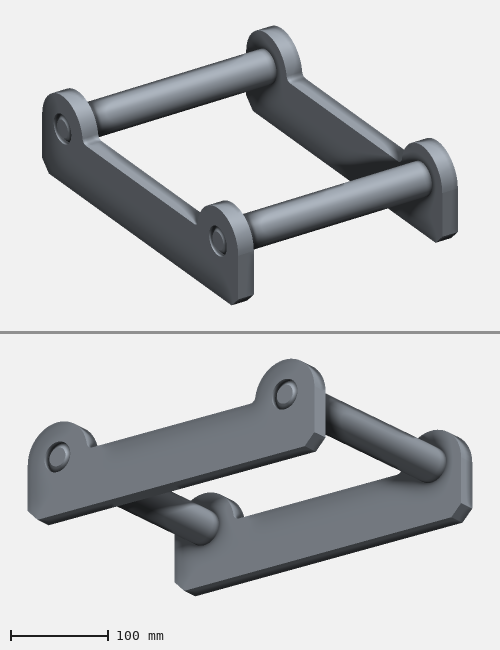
import cadquery as cq
import math

frame_length = 366.75
frame_width = 267.73
plate_height = 101.03
plate_thickness = 19.0

lug_radius = 38.0
corner_chamfer = 12.5
lug_fillet_radius = 6.6

bar_diameter = 38.0
tenon_diameter = 33.0
tenon_bevel = 6.35

half_length = frame_length / 2
half_width = frame_width / 2
inner_face_y = half_width - plate_thickness
bar_x = half_length - lug_radius
bar_z = plate_height - lug_radius
rail_z = bar_z


def lug_fillet_points():
    """Points of the right-hand fillet: on the rail, mid-arc and on the lug."""
    centre_distance = lug_radius + lug_fillet_radius
    rise = rail_z + lug_fillet_radius - bar_z
    run = math.sqrt(centre_distance**2 - rise**2)
    slope_angle = math.atan2(rise, run)
    centre_x = bar_x - run
    centre_z = bar_z + rise
    mid_angle = (-math.pi / 2 - slope_angle) / 2
    on_rail = (centre_x, rail_z)
    middle = (
        centre_x + lug_fillet_radius * math.cos(mid_angle),
        centre_z + lug_fillet_radius * math.sin(mid_angle),
    )
    on_lug = (
        bar_x - lug_radius * math.cos(slope_angle),
        bar_z + lug_radius * math.sin(slope_angle),
    )
    return on_rail, middle, on_lug


def mirrored(point):
    """Reflect an (x, z) point to the other end of the plate."""
    x, z = point
    return (-x, z)


def side_plate(outer_y):
    """Plate whose -Y face lies at outer_y, bored for the tenon of each bar."""
    on_rail, middle, on_lug = lug_fillet_points()
    lug_top = (bar_x, plate_height)
    lug_side = (half_length, bar_z)
    chamfer_top = (half_length, corner_chamfer)
    chamfer_bottom = (half_length - corner_chamfer, 0)
    return (
        cq.Workplane("XZ", origin=(0, outer_y, 0))
        .moveTo(*on_rail)
        .threePointArc(middle, on_lug)
        .threePointArc(lug_top, lug_side)
        .lineTo(*chamfer_top)
        .lineTo(*chamfer_bottom)
        .lineTo(*mirrored(chamfer_bottom))
        .lineTo(*mirrored(chamfer_top))
        .lineTo(*mirrored(lug_side))
        .threePointArc(mirrored(lug_top), mirrored(on_lug))
        .threePointArc(mirrored(middle), mirrored(on_rail))
        .close()
        .pushPoints([(-bar_x, bar_z), (bar_x, bar_z)])
        .circle(tenon_diameter / 2)
        .extrude(-plate_thickness)
    )


def crossbar(x):
    """Turned bar shouldered against both plates, with tenon ends flush with the outer faces."""
    bar_radius = bar_diameter / 2
    tenon_radius = tenon_diameter / 2
    tip_radius = tenon_radius - tenon_bevel
    bevel_y = half_width - tenon_bevel
    return (
        cq.Workplane("XY", origin=(x, 0, bar_z))
        .polyline(
            [
                (0, -half_width),
                (tip_radius, -half_width),
                (tenon_radius, -bevel_y),
                (tenon_radius, -inner_face_y),
                (bar_radius, -inner_face_y),
                (bar_radius, inner_face_y),
                (tenon_radius, inner_face_y),
                (tenon_radius, bevel_y),
                (tip_radius, half_width),
                (0, half_width),
            ]
        )
        .close()
        .revolve(360, (0, 0, 0), (0, 1, 0))
    )


side_plates = [side_plate(y) for y in (-half_width, inner_face_y)]
crossbars = [crossbar(x) for x in (-bar_x, bar_x)]

result = cq.Compound.makeCompound([body.val() for body in side_plates + crossbars])